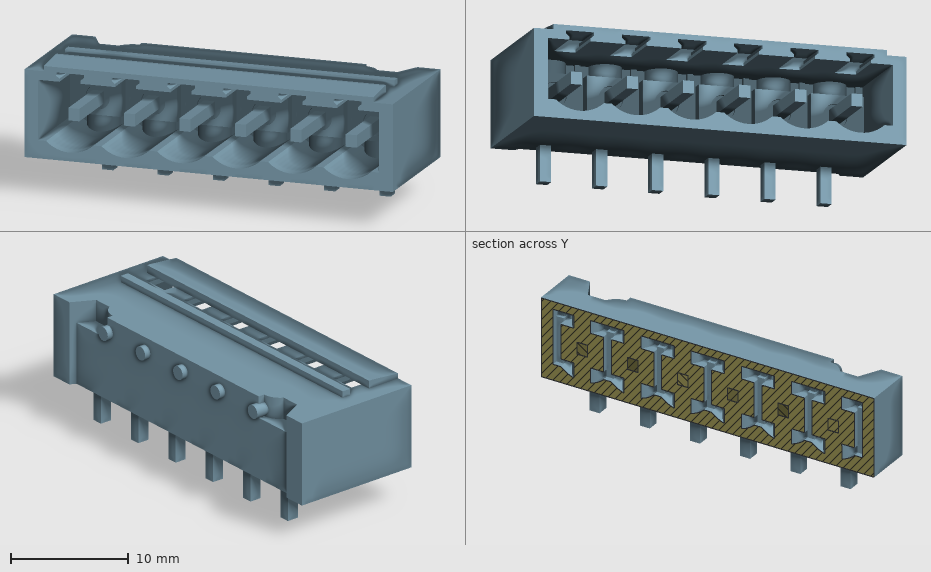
import cadquery as cq


length = 33.2
depth = 12.0
rear_wall_y = 11.42
height = 7.7
side_wall = 1.23
floor_z = 1.6
ceiling_z = 6.9
cavity_depth = 8.63

contact_count = 6
row_span = 25.0
pitch = row_span / (contact_count - 1)
contact_z = 3.85
contact_xs = [(i - (contact_count - 1) / 2) * pitch for i in range(contact_count)]
gap_xs = [(a + b) / 2 for a, b in zip(contact_xs, contact_xs[1:])]

cell_width = 4.28
trough_depth = 0.83
column_radius = 1.45
block_front_y = 6.97
block_bottom_z = 2.3
block_top_z = 5.7
recess_diameter = 2.15
recess_depth = 0.2

rib_depth = 0.65
rib_top_z = 6.0
upper_rib_width = 0.5
upper_rib_depth = 0.33

slot_length = 4.2
slot_top_width = 2.52
slot_throat_width = 1.9
slot_lip = 0.25
slot_taper = 0.25

bar_length = 29.68
bar_y = 5.68
bar_width = 0.8
bar_height = 0.6
ramp_depth = 3.2
ramp_height = 0.73
ramp_crest = 0.3
ramp_nose_height = 0.45

notch_depth = 2.0
ear_width = 2.1
notch_floor_y = 9.93
notch_inner_x = 6.47
notch_arc_x = 4.95
notch_arc_mid_x = 5.45
notch_corner_x = 3.15
notch_arc_mid_y = 10.5
notch_arc_end_y = 10.82
peg_diameter = 1.25
peg_drop = 1.33
peg_z = height - peg_drop

pin_width = 1.0
pin_thickness = 1.1
pin_tip_y = 1.0
pin_leg_y = 10.03
pin_drop = 3.2


def box(x, y, z):
    """Block spanning the given (low, high) range along each axis."""
    size = (x[1] - x[0], y[1] - y[0], z[1] - z[0])
    return cq.Workplane("XY").box(*size, centered=False).translate((x[0], y[0], z[0]))


def centred(middle, width):
    """(low, high) range of a width about its middle."""
    return (middle - width / 2, middle + width / 2)


def front_sketch(y):
    """Workplane facing the front at depth y; its extrusions run towards the back."""
    return cq.Workplane("XZ", origin=(0, y, 0))


def trough(x):
    """Round-bottomed channel sunk into the cavity floor."""
    half = cell_width / 2
    return (
        front_sketch(0)
        .moveTo(x - half, floor_z)
        .threePointArc((x, floor_z - trough_depth), (x + half, floor_z))
        .close()
        .extrude(-cavity_depth)
    )


def dovetail_slot(x):
    """Slot through the cavity roof, wider at the top than at the throat."""
    top = slot_top_width / 2
    throat = slot_throat_width / 2
    lip_z = height - slot_lip
    throat_z = lip_z - slot_taper
    outline = [
        (x - top, height), (x + top, height), (x + top, lip_z), (x + throat, throat_z),
        (x + throat, ceiling_z), (x - throat, ceiling_z), (x - throat, throat_z), (x - top, lip_z),
    ]
    return front_sketch(0).polyline(outline).close().extrude(-slot_length)


def cell_body(x):
    """Upright half column on the rear wall with a square block carrying the pin."""
    column_bottom_z = floor_z - trough_depth
    column = (
        cq.Workplane("XY", origin=(x, cavity_depth, column_bottom_z))
        .moveTo(-column_radius, 0)
        .threePointArc((0, -column_radius), (column_radius, 0))
        .close()
        .extrude(ceiling_z - column_bottom_z)
    )
    block = box(centred(x, cell_width), (block_front_y, cavity_depth), (block_bottom_z, block_top_z))
    recess = (
        front_sketch(block_front_y)
        .center(x, contact_z)
        .circle(recess_diameter / 2)
        .extrude(-recess_depth)
    )
    return column.union(block).cut(recess)


def stepped_rib(x, lower_width, upper_width):
    """Rib on the rear wall, given its (low, high) X range below and above the step."""
    lower = box(lower_width, (cavity_depth - rib_depth, cavity_depth), (floor_z, rib_top_z))
    upper = box(upper_width, (cavity_depth - upper_rib_depth, cavity_depth), (rib_top_z, ceiling_z))
    return lower.union(upper).translate((x, 0, 0))


def end_ribs():
    """Wider ribs that fill the space between the end cells and the side walls."""
    cavity_end = length / 2 - side_wall
    step = (pitch - cell_width - upper_rib_width) / 2
    left_cell_edge = contact_xs[0] - cell_width / 2
    right_cell_edge = contact_xs[-1] + cell_width / 2
    left = stepped_rib(0, (-cavity_end, left_cell_edge), (-cavity_end, left_cell_edge - step))
    right = stepped_rib(0, (right_cell_edge, cavity_end), (right_cell_edge + step, cavity_end))
    return left.union(right)


def ramp():
    """Wedge along the front top edge, highest at its rear."""
    outline = [
        (0, height),
        (0, height + ramp_nose_height),
        (ramp_depth - ramp_crest, height + ramp_height),
        (ramp_depth, height + ramp_height),
        (ramp_depth, height),
    ]
    profile = cq.Workplane("YZ", origin=(-bar_length / 2, 0, 0)).polyline(outline)
    return profile.close().extrude(bar_length)


def rear_clearance():
    """Space between the ears: the set-back rear wall and a deeper notch beside each ear."""
    end = -length / 2
    ear_slope = (notch_corner_x - ear_width) / (depth - notch_floor_y)
    ear_at_wall_x = end + ear_width + ear_slope * (depth - rear_wall_y)
    strip = (
        cq.Workplane("XY")
        .polyline([
            (end + ear_width, depth), (ear_at_wall_x, rear_wall_y),
            (-ear_at_wall_x, rear_wall_y), (-end - ear_width, depth),
        ])
        .close()
        .extrude(height)
    )
    notch = (
        cq.Workplane("XY", origin=(0, 0, height - notch_depth))
        .moveTo(ear_at_wall_x, rear_wall_y)
        .lineTo(end + notch_corner_x, notch_floor_y)
        .lineTo(end + notch_arc_x, notch_floor_y)
        .threePointArc(
            (end + notch_arc_mid_x, notch_arc_mid_y), (end + notch_inner_x, notch_arc_end_y)
        )
        .lineTo(end + notch_inner_x, rear_wall_y)
        .close()
        .extrude(notch_depth)
    )
    return strip.union(notch).union(notch.mirror("YZ"))


def peg(x):
    """Round peg on the rear wall, ending level with the ears."""
    return (
        front_sketch(notch_floor_y)
        .center(x, peg_z)
        .circle(peg_diameter / 2)
        .extrude(notch_floor_y - depth)
    )


def make_pin(x):
    """L-shaped contact: level blade towards the front, leg down through the floor."""
    blade_z = centred(contact_z, pin_thickness)
    leg_y = centred(pin_leg_y, pin_thickness)
    blade = box(centred(x, pin_width), (pin_tip_y, leg_y[1]), blade_z)
    leg = box(centred(x, pin_width), leg_y, (-pin_drop, blade_z[1]))
    return blade.union(leg)


def make_housing(pins):
    """Open-fronted shell with its cells, top details, rear pegs and holes for the pins."""
    body = box(centred(0, length), (0, depth), (0, height))
    body = body.cut(box(centred(0, length - 2 * side_wall), (0, cavity_depth), (floor_z, ceiling_z)))
    body = body.cut(rear_clearance())
    for x in contact_xs:
        body = body.cut(trough(x)).cut(dovetail_slot(x)).union(cell_body(x))
    for x in gap_xs:
        body = body.union(stepped_rib(x, centred(0, pitch - cell_width), centred(0, upper_rib_width)))
        body = body.union(peg(x))
    body = body.union(end_ribs())
    body = body.union(ramp())
    bar = box(centred(0, bar_length), centred(bar_y, bar_width), (height, height + bar_height))
    body = body.union(bar)
    for pin in pins:
        body = body.cut(pin)
    return body.solids()


pins = [make_pin(x) for x in contact_xs]
housing = make_housing(pins)

result = cq.Compound.makeCompound([housing.val(), *[pin.val() for pin in pins]])